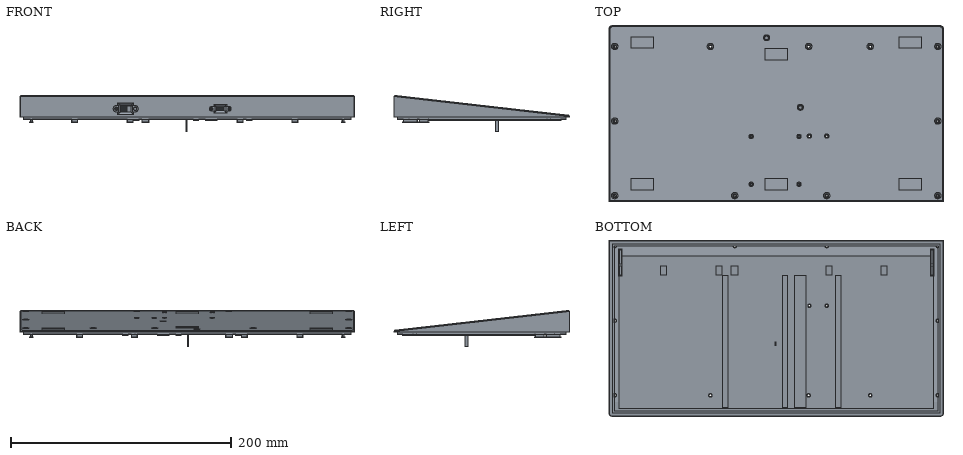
import cadquery as cq
import math

LENGTH = 303.5
DEPTH = 159.5
FRONT_HEIGHT = 19.7
SLOPE_DEGREES = 6.5
SLOPE = math.tan(math.radians(SLOPE_DEGREES))
WALL = 5.0
ROOF = 3.0
EDGE_CHAMFER = 1.0
BACK_CORNER_RADIUS = 3.0

LIP_INSET = 3.0
LIP_DROP = 1.97

FOOT_LENGTH = 20.5
FOOT_WIDTH = 10.3
FOOT_DEPTH = 1.0
FOOT_X = 121.7
FOOT_FRONT_Y = 15.5
FOOT_BACK_Y = 144.2
FOOT_MIDDLE_BACK_Y = 133.5
FOOT_PLACES = [(x, FOOT_FRONT_Y) for x in (-FOOT_X, 0.0, FOOT_X)]
FOOT_PLACES += [(-FOOT_X, FOOT_BACK_Y), (0.0, FOOT_MIDDLE_BACK_Y), (FOOT_X, FOOT_BACK_Y)]

HOLE_DEPTH = 3.5
SCREW_HOLE = 2.9
SCREW_HEAD = 5.8
SCREW_X = 146.5
SCREW_FRONT_Y = 5.2
SCREW_MIDDLE_Y = 73.0
SCREW_BACK_Y = 140.5
SCREW_ROWS = (SCREW_FRONT_Y, SCREW_MIDDLE_Y, SCREW_BACK_Y)
SCREW_PLACES = [(side * SCREW_X, y) for side in (-1, 1) for y in SCREW_ROWS]
SCREW_PLACES += [(x, SCREW_FRONT_Y) for x in (-37.5, 45.8)]
BACK_SCREW_PLACES = [(x, SCREW_BACK_Y) for x in (-59.8, 29.5, 85.3)]
SCREW_PLACES += BACK_SCREW_PLACES

SMALL_HOLE = 2.0
OPEN_HOLE = 2.5
SMALL_HEAD = 4.0
BOARD_HOLE_PITCH = 43.5
BOARD_HOLE_X = -22.8
BOARD_HOLE_Y = 15.5
BOARD_HOLE_PLACES = [
    (BOARD_HOLE_X + i * BOARD_HOLE_PITCH, BOARD_HOLE_Y + j * BOARD_HOLE_PITCH)
    for i in (0, 1)
    for j in (0, 1)
]
OPEN_HOLE_Y = 59.2
OPEN_HOLE_PLACES = [(x, OPEN_HOLE_Y) for x in (30.0, 45.8)]
BUTTON_HOLE = 3.5
BUTTON_HEAD = 5.5
BUTTON_HOLE_PLACES = [(-8.8, 148.5), (22.0, 85.3)]

PORT_Z = 7.5
PORT_FLARE = 2.5
EAR_DEPTH = 1.0
WIDE_PORT = dict(x=-56.0, width=9.7, height=5.8, ear_length=22.8, ear_height=5.8, ear_hole=2.9)
NARROW_PORT = dict(x=30.0, width=7.0, height=3.0, ear_length=19.7, ear_height=4.0, ear_hole=2.05)

FRAME_HALF_LENGTH = 142.7
FRAME_FRONT_Y = 13.7
FRAME_BACK_Y = 152.5
FRAME_THICKNESS = LIP_DROP
RIB_DROP = 1.0
RIB_FRONT_Y = 31.5
RIB_BACK_Y = 151.5
RIB_WIDTH = 5.0
WIDE_RIB_WIDTH = 10.5
RIBS = [(-46.5, RIB_WIDTH), (8.0, RIB_WIDTH), (22.0, WIDE_RIB_WIDTH), (56.2, RIB_WIDTH)]
STUD_DROP = 2.8
STUD_WIDTH = 5.5
WIDE_STUD_WIDTH = 6.5
STUD_FRONT_Y = 23.0
STUD_BACK_Y = 31.0
STUDS = [(x, STUD_WIDTH) for x in (-102.3, -52.0, 48.0, 97.8)] + [(-38.0, WIDE_STUD_WIDTH)]
TOWER_LEFT = -54.5
TOWER_WIDTH = 10.5
TOWER_FRONT_Y = 36.5
TOWER_DEPTH = 9.0
TOWER_HEIGHT = 10.3

LEVER_X = -0.5
LEVER_Y = 93.5
LEVER_THICKNESS = 0.5
LEVER_WIDTH = 3.0
LEVER_BOTTOM = -13.0

CLIP_X = 141.5
CLIP_NECK_WIDTH = 1.8
CLIP_FOOT_WIDTH = 3.0
CLIP_FOOT_HEIGHT = 0.3
CLIP_FRONT_Y = 7.5
CLIP_BACK_Y = 32.0
CLIP_NECKS = [(8.5, 21.3), (23.0, 31.0)]


def box(x0, x1, y0, y1, z0, z1):
    return cq.Workplane("XY").box(x1 - x0, y1 - y0, z1 - z0, centered=False).translate((x0, y0, z0))


def strip(x, width, y0, y1, z0, z1):
    return box(x - width / 2, x + width / 2, y0, y1, z0, z1)


def roof_height(y):
    return FRONT_HEIGHT - SLOPE * y


def on_roof(tool, x, y):
    """Tilt a tool whose top is at z = 0 square to the roof and move it to (x, y)."""
    return tool.rotate((0, 0, 0), (1, 0, 0), -SLOPE_DEGREES).translate((x, y, roof_height(y)))


def wedge():
    """Outer block with rounded back corners and a chamfer around the sloped roof."""
    outline = [(0, 0), (DEPTH, 0), (DEPTH, roof_height(DEPTH)), (0, FRONT_HEIGHT)]
    solid = cq.Workplane("YZ").polyline(outline).close().extrude(LENGTH / 2, both=True)
    solid = solid.edges("|Z and >Y").fillet(BACK_CORNER_RADIUS)
    sloped = cq.selectors.DirectionMinMaxSelector(cq.Vector(0, SLOPE, 1), True)
    return solid.faces(sloped).edges().chamfer(EDGE_CHAMFER)


def lip():
    x = LENGTH / 2 - LIP_INSET
    return box(-x, x, LIP_INSET, DEPTH - LIP_INSET, -LIP_DROP, 0)


def cavity():
    """Space under the roof, running out at the back where the roof meets the floor level."""
    ceiling_y = (FRONT_HEIGHT - ROOF) / SLOPE
    outline = [
        (WALL, -LIP_DROP),
        (DEPTH - WALL, -LIP_DROP),
        (DEPTH - WALL, 0),
        (ceiling_y, 0),
        (WALL, roof_height(WALL) - ROOF),
    ]
    return cq.Workplane("YZ").polyline(outline).close().extrude(LENGTH / 2 - WALL, both=True)


def countersunk_hole(hole, head):
    """Drill tool pointing down from z = 0 with a 45 degree countersink."""
    sink = (head - hole) / 2
    outline = [(0, 0), (head / 2, 0), (hole / 2, -sink), (hole / 2, -HOLE_DEPTH), (0, -HOLE_DEPTH)]
    profile = cq.Workplane("XZ").polyline(outline).close()
    return profile.revolve(360, (0, 0, 0), (0, 1, 0))


def cut_roof_holes(case, places, hole, head):
    for x, y in places:
        case = case.cut(on_roof(countersunk_hole(hole, head), x, y))
    return case


def cut_foot_pockets(case):
    pocket = cq.Workplane("XY").box(FOOT_LENGTH, FOOT_WIDTH, 2 * FOOT_DEPTH)
    for x, y in FOOT_PLACES:
        case = case.cut(on_roof(pocket, x, y))
    return case


def cut_port(case, x, width, height, ear_length, ear_height, ear_hole):
    """Flared opening with a round-ended recess and a screw hole at each end of it."""
    face = cq.Workplane("XZ", origin=(x, 0, PORT_Z))
    case = case.cut(face.rect(width, height).extrude(-WALL))
    flare = face.rect(width + 2 * PORT_FLARE, height + 2 * PORT_FLARE)
    case = case.cut(flare.extrude(-PORT_FLARE, taper=45))
    case = case.cut(face.slot2D(ear_length, ear_height).extrude(-EAR_DEPTH))
    ear_x = (ear_length - ear_height) / 2
    return case.cut(face.pushPoints([(-ear_x, 0), (ear_x, 0)]).circle(ear_hole / 2).extrude(-WALL))


def make_case():
    case = wedge().union(lip()).cut(cavity())
    case = cut_foot_pockets(case)
    case = cut_roof_holes(case, SCREW_PLACES, SCREW_HOLE, SCREW_HEAD)
    case = cut_roof_holes(case, BOARD_HOLE_PLACES, SMALL_HOLE, SMALL_HEAD)
    case = cut_roof_holes(case, OPEN_HOLE_PLACES, OPEN_HOLE, SMALL_HEAD)
    case = cut_roof_holes(case, BUTTON_HOLE_PLACES, BUTTON_HOLE, BUTTON_HEAD)
    case = cut_port(case, **WIDE_PORT)
    return cut_port(case, **NARROW_PORT)


def make_clip(x):
    foot_bottom = -FRAME_THICKNESS - STUD_DROP
    foot_top = foot_bottom + CLIP_FOOT_HEIGHT
    clip = strip(x, CLIP_FOOT_WIDTH, CLIP_FRONT_Y, CLIP_BACK_Y, foot_bottom, foot_top)
    for front, back in CLIP_NECKS:
        clip = clip.union(strip(x, CLIP_NECK_WIDTH, front, back, foot_top, -FRAME_THICKNESS))
    return clip


def make_lever():
    half_width = LEVER_WIDTH / 2
    return strip(LEVER_X, LEVER_THICKNESS, LEVER_Y - half_width, LEVER_Y + half_width, LEVER_BOTTOM, 0)


def make_frame(lever):
    bottom = -FRAME_THICKNESS
    frame = strip(0, 2 * FRAME_HALF_LENGTH, FRAME_FRONT_Y, FRAME_BACK_Y, bottom, 0)
    for x, width in RIBS:
        frame = frame.union(strip(x, width, RIB_FRONT_Y, RIB_BACK_Y, bottom - RIB_DROP, bottom))
    for x, width in STUDS:
        frame = frame.union(strip(x, width, STUD_FRONT_Y, STUD_BACK_Y, bottom - STUD_DROP, bottom))
    tower_x = TOWER_LEFT + TOWER_WIDTH / 2
    frame = frame.union(
        strip(tower_x, TOWER_WIDTH, TOWER_FRONT_Y, TOWER_FRONT_Y + TOWER_DEPTH, 0, TOWER_HEIGHT)
    )
    underside = cq.Workplane("XY", origin=(0, 0, bottom - RIB_DROP))
    holes = underside.pushPoints(BACK_SCREW_PLACES + OPEN_HOLE_PLACES).circle(SCREW_HOLE / 2)
    frame = frame.cut(holes.extrude(FRAME_THICKNESS + RIB_DROP))
    return frame.cut(lever)


case = make_case()
lever = make_lever()
frame = make_frame(lever)
clips = [make_clip(side * CLIP_X) for side in (-1, 1)]

result = cq.Compound.makeCompound(
    [case.val(), frame.val(), lever.val(), *[clip.val() for clip in clips]]
)